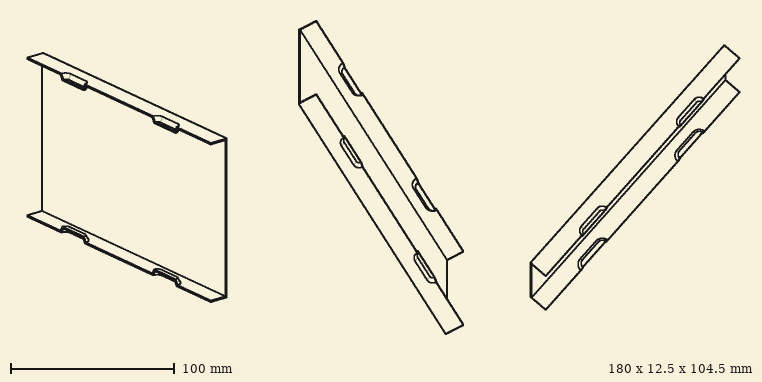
import cadquery as cq

length = 180.0
flange_depth = 12.5
height = 104.5
sheet = 1.0

dimple_spacing = 90.0
dimple_straight = 15.0
dimple_radius = 4.0
dimple_depth = 3.2
wall_angle = 30.0

underside_radius = dimple_radius + sheet

front_y = -flange_depth / 2
top_z = height / 2


def tapered_slot(radius, start_z):
    """Slot centred on the flange edge, narrowing downward over the dimple depth."""
    return (
        cq.Workplane("XY", origin=(0, front_y, start_z))
        .pushPoints([(-dimple_spacing / 2, 0), (dimple_spacing / 2, 0)])
        .slot2D(dimple_straight + 2 * radius, 2 * radius)
        .extrude(-dimple_depth, taper=wall_angle)
    )


def mirrored_pair(upper):
    """Feature at the top flange together with its copy at the bottom flange."""
    return upper.union(upper.mirror("XY"))


channel = cq.Workplane("XY").box(length, flange_depth, height)
opening = (
    cq.Workplane("XY")
    .box(length, flange_depth, height - 2 * sheet)
    .translate((0, -sheet, 0))
)
channel = channel.cut(opening)

envelope = cq.Workplane("XY").box(length, flange_depth, height)
bodies = tapered_slot(underside_radius, top_z - sheet).intersect(envelope)

hollows = tapered_slot(dimple_radius, top_z)

result = channel.union(mirrored_pair(bodies)).cut(mirrored_pair(hollows))